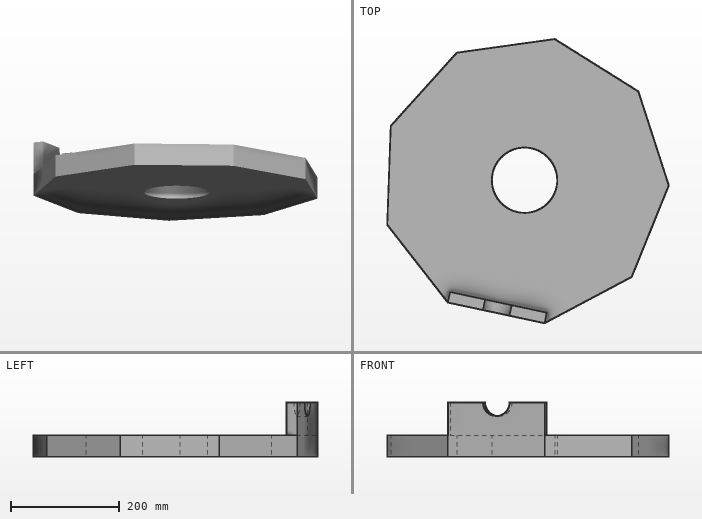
import cadquery as cq
import math

side_count = 9
apothem = 250.0
plate_thickness = 40.0
bore_diameter = 120.0

wall_normal_angle = -102.055
wall_thickness = 20.0
overall_height = 100.0
notch_diameter = 50.0

half_side_angle = 180.0 / side_count
side_length = 2 * apothem * math.tan(math.radians(half_side_angle))
corner_radius = apothem / math.cos(math.radians(half_side_angle))


def make_plate():
    """Regular polygon plate with a flat side facing +X and a central bore."""
    return (
        cq.Workplane("XY")
        .polygon(side_count, 2 * corner_radius)
        .circle(bore_diameter / 2)
        .extrude(plate_thickness)
        .rotate((0, 0, 0), (0, 0, 1), half_side_angle)
    )


def make_wall():
    """Full-side wall, flush with the +X flat, with a half-round notch in its top."""
    inner_face = apothem - wall_thickness
    wall = (
        cq.Workplane("XY")
        .box(wall_thickness, side_length, overall_height, centered=(False, True, False))
        .translate((inner_face, 0, 0))
    )
    notch = (
        cq.Workplane("YZ", origin=(inner_face, 0, overall_height))
        .circle(notch_diameter / 2)
        .extrude(wall_thickness)
    )
    return wall.cut(notch)


result = make_plate().union(make_wall()).rotate((0, 0, 0), (0, 0, 1), wall_normal_angle)